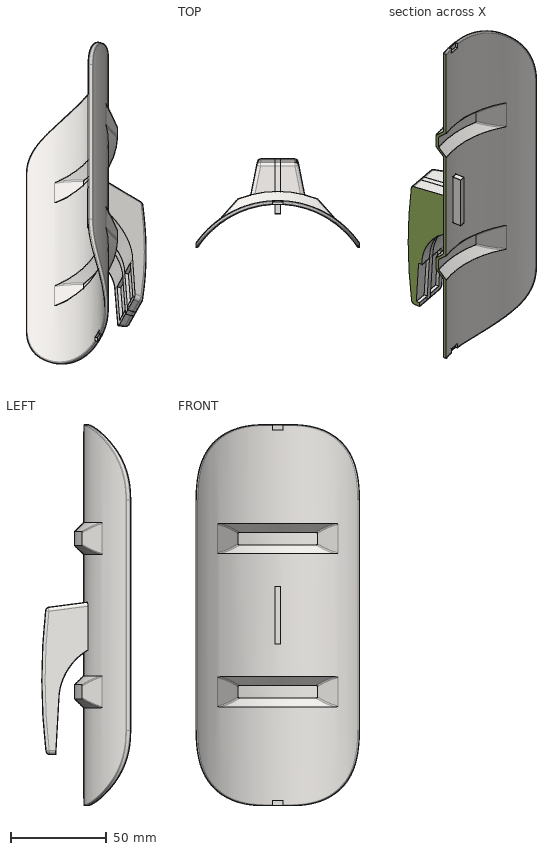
import cadquery as cq
import math

LENGTH = 200.0
WIDTH = 85.8
OUTER_RADIUS = 52.5
THICKNESS = 2.0
INNER_RADIUS = OUTER_RADIUS - THICKNESS
CORNER_WIDTH = 35.5
CORNER_HEIGHT = 39.5
CORNER_FULLNESS = 0.75
PLATE_EDGE_ROUND = 0.5

CHANNEL_SPACING = 80.5
CHANNEL_RISE = 4.8
BULGE_BASE = (30.5, 16.8)
BULGE_CREST = (21.0, 7.5)
HOLLOW_BASE = (31.5, 15.8)
HOLLOW_CREST = (20.8, 6.5)
CHANNEL_CORNER_ROUND = 1.0

NOTCH_WIDTH = 5.5
NOTCH_HEIGHT = 2.8
NOTCH_DEPTH = 1.2

KEY_WIDTH = 3.0
KEY_LENGTH = 30.0
KEY_PROTRUSION = 5.0

HOOK_TOP_ROOT_Z = 6.5
HOOK_TOP_BACK_Z = 4.0
HOOK_BACK_TOP_Y = 19.8
HOOK_BACK_MIDDLE_Y = 22.0
HOOK_BACK_TIP_Y = 19.5
HOOK_TIP_Z = -73.2
TIP_FRONT_Y = 14.5
UNDERSIDE_RADIUS = 31.0
UNDERSIDE_BEND_Y = 13.0
UNDERSIDE_BEND_Z = -45.0
HOOK_ROOT_HALF_WIDTH = 14.8
HOOK_BACK_HALF_WIDTH = 10.5
HOOK_EDGE_ROUND = 2.2
WEB_THICKNESS = KEY_WIDTH
POCKET_DEPTH = 2.0
POCKET_WALL = 3.2
POCKET_TIP_WALL = 2.8

MARGIN = 4.0


def cylinder(radius):
    """Solid cylinder around the plate's axis of curvature."""
    return cq.Workplane("XY").center(0, -OUTER_RADIUS).circle(radius).extrude(LENGTH / 2 + MARGIN, both=True)


def plate_blank():
    """Rounded outline cut straight through the tube wall along Y."""
    half_width = WIDTH / 2
    half_length = LENGTH / 2
    flat_x = half_width - CORNER_WIDTH
    straight_z = half_length - CORNER_HEIGHT
    corner_middle = (flat_x + CORNER_FULLNESS * CORNER_WIDTH, straight_z + CORNER_FULLNESS * CORNER_HEIGHT)
    quarter = (
        cq.Workplane("XZ")
        .lineTo(0, half_length)
        .lineTo(flat_x, half_length)
        .spline(
            [corner_middle, (half_width, straight_z)],
            tangents=[(1, 0), (0, -1)],
            includeCurrent=True,
        )
        .lineTo(half_width, 0)
        .close()
        .extrude(OUTER_RADIUS)
    )
    upper_half = quarter.union(quarter.mirror("YZ"))
    prism = upper_half.union(upper_half.mirror("XY")).clean()
    shell = prism.intersect(cylinder(OUTER_RADIUS)).cut(cylinder(INNER_RADIUS))
    return shell.edges().fillet(PLATE_EDGE_ROUND)


def wall_edge(crest, base, radius):
    """Point on the straight line through crest and base, continued to the given radius."""
    share = (crest[1] - radius) / (crest[1] - base[1])
    return (crest[0] + share * (base[0] - crest[0]), radius)


def channel_form(base_radius, base, crest):
    """Ring segment with sloping walls that run from its crest through its base and below it."""
    base_x, base_width = base
    crest_x, crest_width = crest
    crest_radius = base_radius + CHANNEL_RISE
    foot_radius = base_radius - THICKNESS / 4
    foot_half, _ = wall_edge((crest_width / 2, crest_radius), (base_width / 2, base_radius), foot_radius)
    ring = (
        cq.Workplane("XZ", origin=(0, -OUTER_RADIUS, 0))
        .polyline([
            (foot_radius, -foot_half),
            (crest_radius, -crest_width / 2),
            (crest_radius, crest_width / 2),
            (foot_radius, foot_half),
        ])
        .close()
        .revolve(360, (0, 0, 0), (0, 1, 0))
    )
    crest_end = (crest_x, math.sqrt(crest_radius**2 - crest_x**2))
    base_end = (base_x, math.sqrt(base_radius**2 - base_x**2))
    top_x, top_y = wall_edge(crest_end, base_end, crest_radius)
    foot_x, foot_y = wall_edge(crest_end, base_end, base_end[1] - MARGIN)
    ends = (
        cq.Workplane("XY", origin=(0, -OUTER_RADIUS, 0))
        .polyline([(-foot_x, foot_y), (-top_x, top_y), (top_x, top_y), (foot_x, foot_y)])
        .close()
        .extrude(base_width, both=True)
    )
    form = ring.intersect(ends)
    corners = form.edges().filter(is_corner)
    return corners.fillet(CHANNEL_CORNER_ROUND)


def is_corner(edge):
    """True for the edges that climb from the foot to the crest of a channel form."""
    box = edge.BoundingBox()
    return min(box.xlen, box.ylen, box.zlen) > 0.2


def notch(end):
    return cq.Workplane("XY").box(
        NOTCH_WIDTH, 2 * NOTCH_DEPTH, 2 * NOTCH_HEIGHT
    ).translate((0, -THICKNESS, end * LENGTH / 2))


def make_key():
    bar = (
        cq.Workplane("XZ")
        .rect(KEY_WIDTH, KEY_LENGTH)
        .extrude(THICKNESS + KEY_PROTRUSION)
    )
    return bar.intersect(cylinder(OUTER_RADIUS))


def make_plate(key):
    plate = plate_blank()
    for end in (-1, 1):
        z = end * CHANNEL_SPACING / 2
        bulge = channel_form(OUTER_RADIUS, BULGE_BASE, BULGE_CREST).translate((0, 0, z))
        hollow = channel_form(INNER_RADIUS, HOLLOW_BASE, HOLLOW_CREST).translate((0, 0, z))
        plate = plate.union(bulge).cut(hollow).cut(notch(end))
    return plate.cut(key)


def hook_underside():
    """Cutter for the finger gap: an arc under the root and a straight run down to the tip."""
    arc_y = UNDERSIDE_BEND_Y - UNDERSIDE_RADIUS
    c45 = math.sqrt(0.5)
    return (
        cq.Workplane("YZ")
        .moveTo(UNDERSIDE_BEND_Y, UNDERSIDE_BEND_Z)
        .threePointArc(
            (arc_y + UNDERSIDE_RADIUS * c45, UNDERSIDE_BEND_Z + UNDERSIDE_RADIUS * c45),
            (arc_y, UNDERSIDE_BEND_Z + UNDERSIDE_RADIUS),
        )
        .lineTo(arc_y, HOOK_TIP_Z - MARGIN)
        .lineTo(TIP_FRONT_Y, HOOK_TIP_Z - MARGIN)
        .lineTo(TIP_FRONT_Y, HOOK_TIP_Z)
        .close()
        .extrude(WIDTH / 2, both=True)
    )


def half_width_at(y):
    """Half width of the hook, which narrows evenly towards its back."""
    taper = (HOOK_ROOT_HALF_WIDTH - HOOK_BACK_HALF_WIDTH) / HOOK_BACK_MIDDLE_Y
    return HOOK_ROOT_HALF_WIDTH - taper * y


def make_hook():
    """Whole hook, rounded on its outer edges and seated on the plate."""
    front_y = -MARGIN
    slope = (HOOK_TOP_ROOT_Z - HOOK_TOP_BACK_Z) / HOOK_BACK_TOP_Y
    side = (
        cq.Workplane("YZ")
        .moveTo(front_y, HOOK_TOP_ROOT_Z - slope * front_y)
        .lineTo(HOOK_BACK_TOP_Y, HOOK_TOP_BACK_Z)
        .threePointArc(
            (HOOK_BACK_MIDDLE_Y, (HOOK_TOP_BACK_Z + HOOK_TIP_Z) / 2),
            (HOOK_BACK_TIP_Y, HOOK_TIP_Z),
        )
        .lineTo(front_y, HOOK_TIP_Z)
        .close()
        .extrude(WIDTH / 2, both=True)
    )
    front_half = half_width_at(front_y)
    back_y = HOOK_BACK_MIDDLE_Y + MARGIN
    back_half = half_width_at(back_y)
    plan = (
        cq.Workplane("XY")
        .polyline([(-front_half, front_y), (front_half, front_y), (back_half, back_y), (-back_half, back_y)])
        .close()
        .extrude(LENGTH, both=True)
    )
    block = side.intersect(plan)
    block = block.edges("not(<Y)").fillet(HOOK_EDGE_ROUND)
    return block.cut(hook_underside()).cut(cylinder(OUTER_RADIUS))


def finger_pocket():
    """Recess along the straight underside, equally deep along its length."""
    top_z = UNDERSIDE_BEND_Z
    bottom_z = HOOK_TIP_Z + POCKET_TIP_WALL
    floor_slope = (TIP_FRONT_Y - UNDERSIDE_BEND_Y) / (UNDERSIDE_BEND_Z - HOOK_TIP_Z)
    floor_top_y = UNDERSIDE_BEND_Y + POCKET_DEPTH
    floor_bottom_y = floor_top_y + floor_slope * (top_z - bottom_z)
    half_width = half_width_at(UNDERSIDE_BEND_Y) - POCKET_WALL
    return (
        cq.Workplane("YZ")
        .polyline([(0, top_z), (floor_top_y, top_z), (floor_bottom_y, bottom_z), (0, bottom_z)])
        .close()
        .extrude(half_width, both=True)
    )


def web_slab():
    return cq.Workplane("XY").box(WEB_THICKNESS, LENGTH, LENGTH)


def make_web(hook):
    return hook.intersect(web_slab())


def make_cheeks(hook):
    """Left and right cheek, one on each side of the web."""
    return hook.cut(web_slab()).cut(finger_pocket())


key = make_key()
plate = make_plate(key)
hook = make_hook()
web = make_web(hook)
cheeks = make_cheeks(hook)

result = cq.Compound.makeCompound([plate.val(), key.val(), web.val(), *cheeks.solids().vals()])